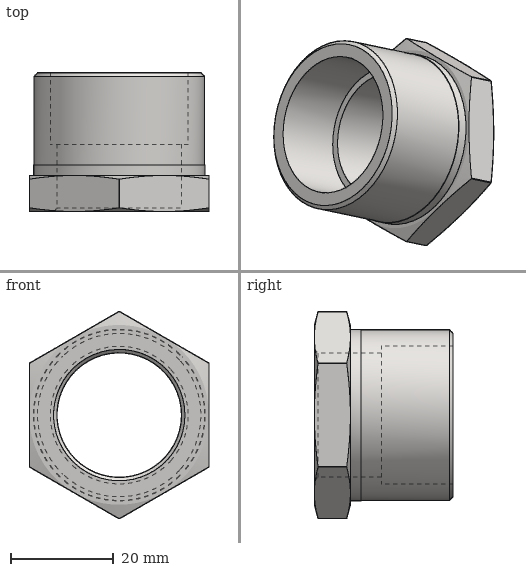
import cadquery as cq
import math

total_length = 27.0
across_flats = 35.0
corner_diameter = 40.3

head_length = 7.0
head_chamfer_angle = 15.0

body_diameter = 33.25
body_end_chamfer = 0.73

neck_length = 2.0
neck_diameter = 33.43

counterbore_diameter = 26.8
counterbore_depth = 14.0
bore_diameter = 24.2
bore_chamfer = 0.7

head_front = -total_length / 2
head_back = head_front + head_length
body_end = total_length / 2


def revolve_profile(points):
    """Solid of revolution about Y from (radius, y) points."""
    return cq.Workplane("XY").polyline(points).close().revolve(360, (0, 0, 0), (0, 1, 0))


def make_head():
    """Hexagon with corners up and down, chamfered by cones on both faces."""
    full_corner_diameter = across_flats / math.cos(math.radians(30))
    hexagon = (
        cq.Workplane("XZ", origin=(0, head_back, 0))
        .transformed(rotate=(0, 0, 90))
        .polygon(6, full_corner_diameter)
        .extrude(head_length)
    )
    face_radius = across_flats / 2
    corner_radius = corner_diameter / 2
    chamfer_depth = (corner_radius - face_radius) * math.tan(math.radians(head_chamfer_angle))
    turned_blank = revolve_profile([
        (0, head_front),
        (face_radius, head_front),
        (corner_radius, head_front + chamfer_depth),
        (corner_radius, head_back - chamfer_depth),
        (face_radius, head_back),
        (0, head_back),
    ])
    return hexagon.intersect(turned_blank)


def make_body():
    """Neck and round body behind the head, chamfered at the free end."""
    radius = body_diameter / 2
    neck_radius = neck_diameter / 2
    neck_end = head_back + neck_length
    return revolve_profile([
        (0, head_back),
        (neck_radius, head_back),
        (neck_radius, neck_end),
        (radius, neck_end),
        (radius, body_end - body_end_chamfer),
        (radius - body_end_chamfer, body_end),
        (0, body_end),
    ])


def make_bore():
    """Through bore, chamfered at the head end and widened at the body end."""
    radius = bore_diameter / 2
    counterbore_radius = counterbore_diameter / 2
    counterbore_floor = body_end - counterbore_depth
    return revolve_profile([
        (0, head_front),
        (radius + bore_chamfer, head_front),
        (radius, head_front + bore_chamfer),
        (radius, counterbore_floor),
        (counterbore_radius, counterbore_floor),
        (counterbore_radius, body_end),
        (0, body_end),
    ])


result = make_head().union(make_body()).cut(make_bore())